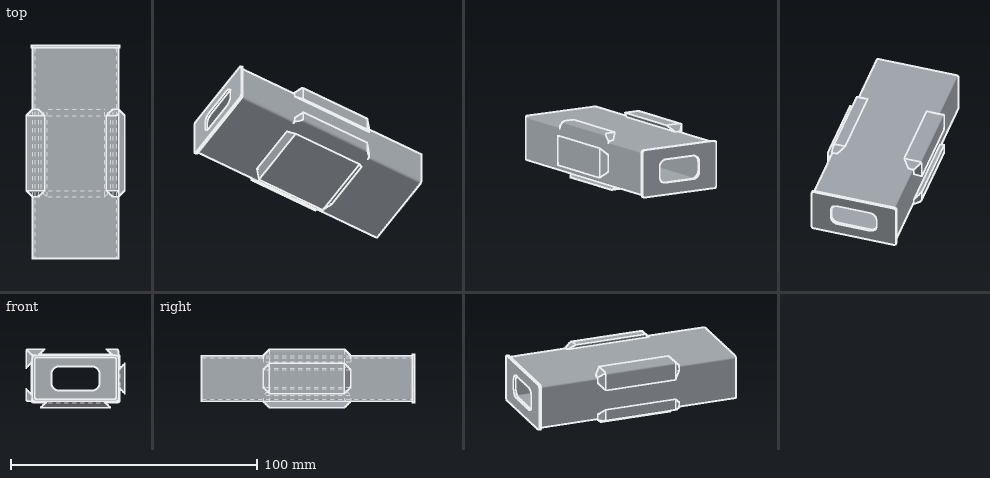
import cadquery as cq

total_length = 86.5
overall_width = 40.1
overall_height = 23.8

rail_height = 2.6
tube_width = overall_width - 2 * rail_height
tube_height = overall_height - 2 * rail_height
corner_radius = 1.0
wall = 0.95
cavity_fillet = 0.5
end_plate = 1.0
half_width = tube_width / 2
half_height = tube_height / 2

flange_lip = 0.5
flange_thickness = 0.9

window_width = 19.5
window_height = 9.7
window_radius = 3.0

rail_base_length = 35.6
top_gap_half = 12.5
left_gap_half = 4.2
bottom_tongue_half = 14.2
right_tongue_half = 6.1

mouth_y = -total_length / 2
back_y = total_length / 2
rail_center_y = (mouth_y + back_y - flange_thickness) / 2


def section_at(y):
    """XZ sketch plane at the given Y, extruding toward +Y with sketch axes +X, +Z."""
    return cq.Workplane("XZ", origin=(0, y, 0))


def rounded_bar(width, height, radius, start_y, length):
    bar = section_at(start_y).rect(width, height).extrude(-length)
    return bar.edges("|Y").fillet(radius)


def rail_prism(points):
    return section_at(rail_center_y).polyline(points).close().extrude(rail_base_length / 2, both=True)


def round_edge(solid, x, z):
    """Round the lengthwise edge that passes through (x, z)."""
    return solid.edges(cq.selectors.NearestToPointSelector((x, rail_center_y, z))).fillet(corner_radius)


outer_x = overall_width / 2
outer_z = overall_height / 2
root_x = half_width - corner_radius
root_z = half_height - corner_radius
flank = rail_height + corner_radius


def corner_rail():
    """L-shaped rail wrapping the -X +Z corner."""
    rail = rail_prism([
        (-outer_x, outer_z),
        (-top_gap_half, outer_z),
        (-top_gap_half - flank, root_z),
        (-root_x, root_z),
        (-root_x, left_gap_half + flank),
        (-outer_x, left_gap_half),
    ])
    return round_edge(rail, -outer_x, outer_z)


def top_rail():
    """Rail on the +Z side, flush with the +X face of the tube."""
    rail = rail_prism([
        (top_gap_half, outer_z),
        (half_width, outer_z),
        (half_width, root_z),
        (top_gap_half + flank, root_z),
    ])
    return round_edge(rail, half_width, outer_z)


def left_rail():
    """Rail on the -X side, flush with the -Z face of the tube."""
    rail = rail_prism([
        (-outer_x, -left_gap_half),
        (-outer_x, -half_height),
        (-root_x, -half_height),
        (-root_x, -left_gap_half - flank),
    ])
    return round_edge(rail, -outer_x, -half_height)


def bottom_tongue():
    root_half = bottom_tongue_half - flank
    return rail_prism([
        (-bottom_tongue_half, -outer_z),
        (bottom_tongue_half, -outer_z),
        (root_half, -root_z),
        (-root_half, -root_z),
    ])


def right_tongue():
    root_half = right_tongue_half - flank
    return rail_prism([
        (outer_x, -right_tongue_half),
        (outer_x, right_tongue_half),
        (root_x, root_half),
        (root_x, -root_half),
    ])


rail_envelope = (
    cq.Workplane("XY", origin=(0, rail_center_y, 0))
    .box(overall_width, rail_base_length, overall_height)
    .faces("<Y or >Y")
    .chamfer(rail_height)
)

result = rounded_bar(tube_width, tube_height, corner_radius, mouth_y, total_length)
flange = rounded_bar(
    tube_width + 2 * flange_lip,
    tube_height + 2 * flange_lip,
    corner_radius,
    back_y - flange_thickness,
    flange_thickness,
)
result = result.union(flange)
for make_rail in (corner_rail, top_rail, left_rail, bottom_tongue, right_tongue):
    result = result.union(make_rail().intersect(rail_envelope))

cavity_depth = total_length - end_plate
cavity = (
    rounded_bar(tube_width - 2 * wall, tube_height - 2 * wall, cavity_fillet, mouth_y, cavity_depth)
    .faces(">Y")
    .edges()
    .fillet(cavity_fillet)
)
result = result.cut(cavity)

window_start = mouth_y + cavity_depth / 2
window = rounded_bar(window_width, window_height, window_radius, window_start, back_y - window_start)
result = result.cut(window)